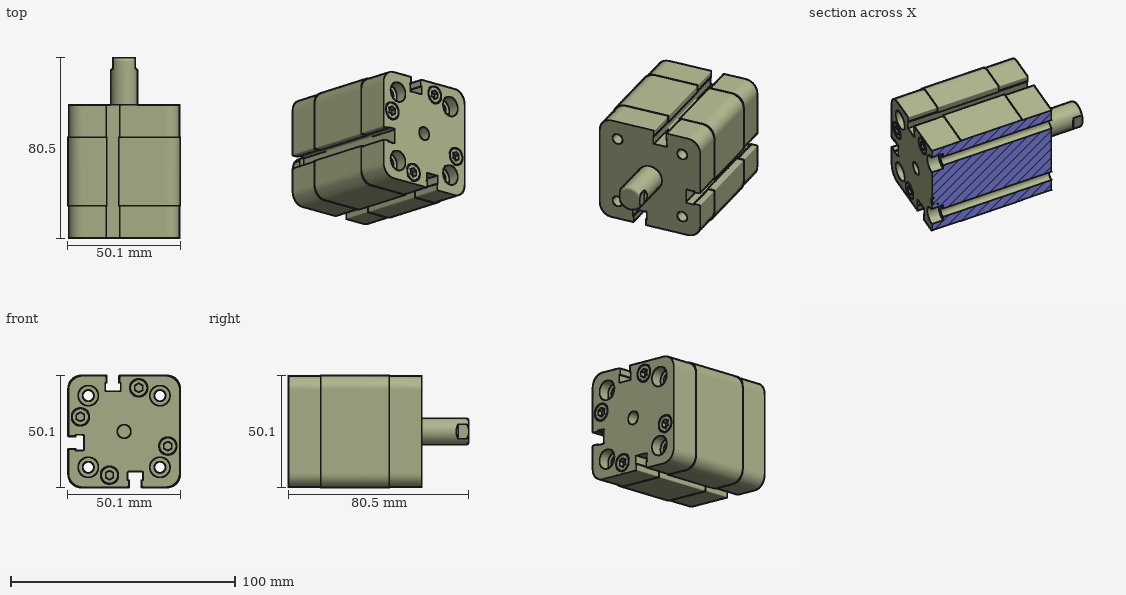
import cadquery as cq
import math


total_length = 80.5
cap_length = 14.5
barrel_length = 30.5
housing_length = 2 * cap_length + barrel_length
rod_length = total_length - housing_length
front_y = -total_length / 2
housing_end_y = front_y + housing_length
rod_tip_y = total_length / 2

barrel_side = 50.1
cap_side = 49.6
corner_radius = 6.0

slot_offset = 5.0
slot_depth = 7.1
slot_undercut_height = 3.7
slot_floor = barrel_side / 2 - slot_depth
slot_ledge = slot_floor + slot_undercut_height
slot_inner_width = 6.85
barrel_neck_width = 5.4
cap_neck_width = 5.95
lip_radius = 0.5
slot_floor_radius = 0.5
slot_turns = (0, 90, 180)

mount_spacing = 31.95
mount_diameter = 4.9
counterbore_diameter = 9.0
counterbore_depth = 5.55

screw_x = 6.5
screw_z = 19.5
screw_recess_diameter = 8.0
screw_head_diameter = 7.5
screw_gap_depth = 0.8
socket_across_flats = 3.55
socket_depth = 2.4

centre_hole_diameter = 6.0
centre_hole_depth = 9.7

rod_diameter = 12.0
rod_tip_radius = 1.5
flat_spacing = 10.0
flat_length = 4.7


def front_plane(y):
    """Workplane facing -Y, with local x along X and local y along Z."""
    return cq.Workplane("XZ", origin=(0, y, 0))


def bore(diameter, depth, points):
    """Round cutters sunk into the front face at the given (x, z) points."""
    return front_plane(front_y).pushPoints(points).circle(diameter / 2).extrude(-depth)


def slot_cutter(y, length, side, neck_width):
    """Undercut slot for the top face of a section whose width is side."""
    top = side / 2
    half_neck = neck_width / 2
    half_mouth = half_neck + lip_radius
    half_inner = slot_inner_width / 2
    bend = lip_radius * (1 - math.sqrt(0.5))
    neck = (
        front_plane(y)
        .moveTo(-half_mouth, top)
        .threePointArc((-half_neck - bend, top - bend), (-half_neck, top - lip_radius))
        .lineTo(-half_neck, slot_floor)
        .lineTo(half_neck, slot_floor)
        .lineTo(half_neck, top - lip_radius)
        .threePointArc((half_neck + bend, top - bend), (half_mouth, top))
        .close()
        .extrude(-length)
    )
    undercut = (
        front_plane(y)
        .moveTo(-half_inner, slot_floor)
        .lineTo(half_inner, slot_floor)
        .lineTo(half_inner, slot_ledge)
        .lineTo(-half_inner, slot_ledge)
        .close()
        .extrude(-length)
        .edges("|Y and <Z")
        .fillet(slot_floor_radius)
    )
    return neck.union(undercut).translate((-slot_offset, 0, 0))


def housing_section(y, length, side, neck_width):
    """Rounded square length of the housing with its sensor slots cut."""
    section = front_plane(y).rect(side, side).extrude(-length).edges("|Y").fillet(corner_radius)
    cutter = slot_cutter(y, length, side, neck_width)
    for angle in slot_turns:
        section = section.cut(cutter.rotate((0, 0, 0), (0, -1, 0), angle))
    return section


def piston_rod():
    """Round rod with a rounded tip and two flats that end in 45 degree run-outs."""
    radius = rod_diameter / 2
    rod = (
        front_plane(housing_end_y)
        .circle(radius)
        .extrude(-rod_length)
        .faces(">Y")
        .edges()
        .fillet(rod_tip_radius)
    )
    flat_x = flat_spacing / 2
    flat_end_y = rod_tip_y - flat_length
    flat_depth = radius - flat_x
    flat_cutter = (
        cq.Workplane("XY")
        .moveTo(flat_x, rod_tip_y)
        .lineTo(flat_x, flat_end_y)
        .lineTo(radius, flat_end_y - flat_depth)
        .lineTo(radius, rod_tip_y)
        .close()
        .extrude(radius, both=True)
    )
    return rod.cut(flat_cutter).cut(flat_cutter.mirror("YZ"))


barrel_y = front_y + cap_length
rod_cap_y = barrel_y + barrel_length
body = housing_section(front_y, cap_length, cap_side, cap_neck_width)
body = body.union(housing_section(barrel_y, barrel_length, barrel_side, barrel_neck_width))
body = body.union(housing_section(rod_cap_y, cap_length, cap_side, cap_neck_width))

half_spacing = mount_spacing / 2
mount_points = [(x, z) for x in (-half_spacing, half_spacing) for z in (-half_spacing, half_spacing)]
body = body.cut(bore(mount_diameter, housing_length, mount_points))
body = body.cut(bore(counterbore_diameter, counterbore_depth, mount_points))
body = body.cut(bore(centre_hole_diameter, centre_hole_depth, [(0, 0)]))

screw_points = [
    (screw_x, screw_z),
    (-screw_z, screw_x),
    (-screw_x, -screw_z),
    (screw_z, -screw_x),
]
screw_gaps = bore(screw_recess_diameter, screw_gap_depth, screw_points).cut(
    bore(screw_head_diameter, screw_gap_depth, screw_points)
)
socket = (
    front_plane(front_y)
    .polygon(6, socket_across_flats, circumscribed=True)
    .extrude(-socket_depth)
)
body = body.cut(screw_gaps)
for x, z in screw_points:
    body = body.cut(socket.translate((x, 0, z)))

result = body.union(piston_rod())